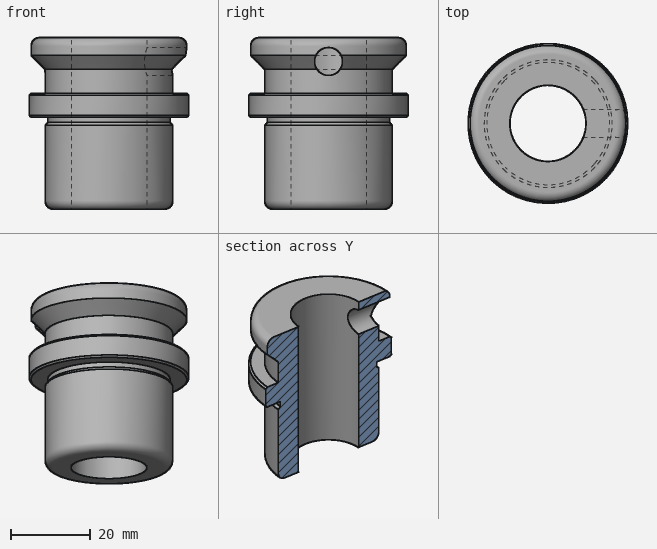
import cadquery as cq

total_height = 43.0
body_top = 21.0
flange_bottom = 23.0
flange_height = 6.0
flange_top = flange_bottom + flange_height
rim_height = 4.5
rim_bottom = total_height - rim_height

body_radius = 16.0
flange_radius = 20.0
head_radius = 19.5
bore_radius = 9.5
groove_depth = 0.65
groove_taper_height = 0.75
groove_radius = body_radius - groove_depth

end_fillet = 2.1
flange_chamfer = 0.5

cross_hole_radius = 3.5
cross_hole_height = 37.0


def make_turned_body():
    """Revolve the stepped half-section about Z, leaving the end edges sharp."""
    neck_top = rim_bottom - (head_radius - body_radius)
    flange_edge_radius = flange_radius - flange_chamfer
    half_section = [
        (bore_radius, 0),
        (body_radius, 0),
        (body_radius, body_top),
        (groove_radius, body_top + groove_taper_height),
        (groove_radius, flange_bottom),
        (flange_edge_radius, flange_bottom),
        (flange_radius, flange_bottom + flange_chamfer),
        (flange_radius, flange_top - flange_chamfer),
        (flange_edge_radius, flange_top),
        (body_radius, flange_top),
        (body_radius, neck_top),
        (head_radius, rim_bottom),
        (head_radius, total_height),
        (bore_radius, total_height),
    ]
    return cq.Workplane("XZ").polyline(half_section).close().revolve(360, (0, 0), (0, 1))


def round_outer_ends(body):
    """Fillet the outer edges of the top and bottom faces, not the bore edges."""
    for face in (">Z", "<Z"):
        body = body.faces(face).edges(cq.selectors.RadiusNthSelector(-1)).fillet(end_fillet)
    return body


def make_cross_hole():
    """Cylinder along +X from the bore axis out through the head and neck wall."""
    return (
        cq.Workplane("YZ")
        .center(0, cross_hole_height)
        .circle(cross_hole_radius)
        .extrude(flange_radius)
    )


result = round_outer_ends(make_turned_body()).cut(make_cross_hole())